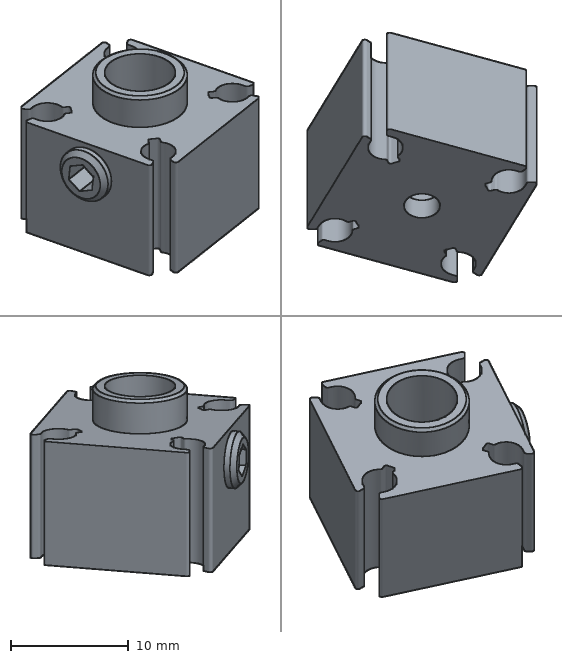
import cadquery as cq

block_side = 16.0
block_height = 11.02
boss_diameter = 8.02
boss_height = 3.0
boss_chamfer = 0.25
bore_diameter = 6.0
bore_floor_thickness = 2.0
through_hole_diameter = 3.06

channel_center = 5.66
channel_radius = 1.48
lip_reach_outer = 6.5
lip_reach_inner = 6.17
lip_fillet = 0.25
notch_width = 1.0
notch_depth = 2.05
notch_fillet = 0.2

screw_diameter = 4.88
screw_chamfer = 0.48
screw_protrusion = 1.0
screw_tip_to_axis = 2.64
screw_axis_drop = 2.9
socket_across_corners = 2.75
socket_depth = 2.38
socket_tilt = 5.8

half_side = block_side / 2
full_height = block_height + boss_height
screw_axis_height = block_height - screw_axis_drop
screw_length = half_side + screw_protrusion - screw_tip_to_axis
screw_head_y = -half_side - screw_protrusion


def make_channel_cutter():
    """Cutter for the channel in the +X +Y corner, as tall as the block."""
    notch = (
        cq.Workplane("XY")
        .center(notch_depth / 2, 0)
        .rect(notch_depth, notch_width)
        .extrude(block_height)
    )
    channel = (
        cq.Workplane("XY")
        .circle(channel_radius)
        .extrude(block_height)
        .union(notch)
        .edges("|Z")
        .fillet(notch_fillet)
        .rotate((0, 0, 0), (0, 0, 1), 225)
        .translate((channel_center, channel_center, 0))
    )

    wall = channel_center + channel_radius
    opening = (
        cq.Workplane("XY")
        .polyline([
            (channel_center, channel_center),
            (wall, channel_center),
            (wall, lip_reach_inner),
            (half_side, lip_reach_outer),
            (half_side, half_side),
            (lip_reach_outer, half_side),
            (lip_reach_inner, wall),
            (channel_center, wall),
        ])
        .close()
        .extrude(block_height)
    )

    return channel.union(opening)


def is_lip_edge(edge):
    """True for the vertical edges at the two ends of a lip flank."""
    center = edge.Center()
    reach = sorted([abs(center.x), abs(center.y)])
    return reach[0] > (channel_center + lip_reach_inner) / 2 and edge.geomType() == "LINE"


def make_block():
    block = cq.Workplane("XY").rect(block_side, block_side).extrude(block_height)

    cutter = make_channel_cutter()
    for i in range(4):
        block = block.cut(cutter.rotate((0, 0, 0), (0, 0, 1), 90 * i))
    block = block.edges("|Z").filter(is_lip_edge).fillet(lip_fillet)

    boss = (
        cq.Workplane("XY")
        .workplane(offset=block_height)
        .circle(boss_diameter / 2)
        .extrude(boss_height)
        .faces(">Z")
        .edges()
        .chamfer(boss_chamfer)
    )
    block = block.union(boss)

    bore = (
        cq.Workplane("XY")
        .workplane(offset=bore_floor_thickness)
        .circle(bore_diameter / 2)
        .extrude(full_height - bore_floor_thickness)
    )
    through_hole = cq.Workplane("XY").circle(through_hole_diameter / 2).extrude(full_height)

    screw_hole = (
        cq.Workplane("XZ", origin=(0, 0, screw_axis_height))
        .circle(screw_diameter / 2)
        .extrude(half_side)
    )
    return block.cut(bore).cut(through_hole).cut(screw_hole).solids()


def make_set_screw():
    screw = (
        cq.Workplane("XZ", origin=(0, screw_head_y, screw_axis_height))
        .circle(screw_diameter / 2)
        .extrude(-screw_length)
        .faces("<Y or >Y")
        .edges()
        .chamfer(screw_chamfer)
    )
    socket = (
        cq.Workplane("XZ", origin=(0, screw_head_y, screw_axis_height))
        .transformed(rotate=(0, 0, 90 - socket_tilt))
        .polygon(6, socket_across_corners)
        .extrude(-socket_depth)
    )
    return screw.cut(socket).solids()


block = make_block()
set_screw = make_set_screw()

result = cq.Compound.makeCompound([block.val(), set_screw.val()])